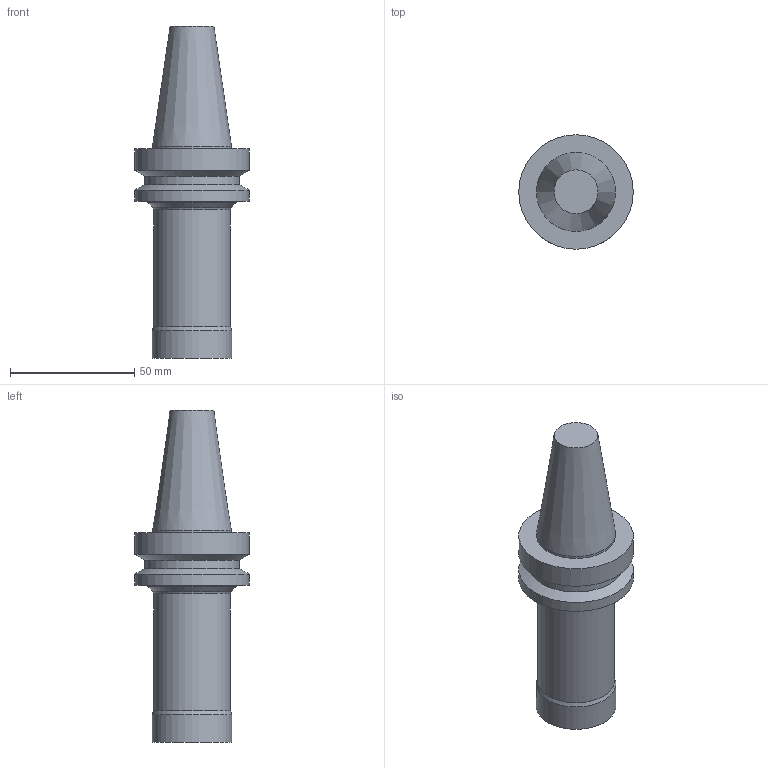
import cadquery as cq
import math


gauge_diameter = 31.75
taper_length = 48.4
taper_ratio = 7 / 24
tip_diameter = gauge_diameter - taper_ratio * taper_length

flange_diameter = 46.0
flange_top_z = -1.0
flange_bottom_z = -22.0
groove_diameter = 38.0
groove_center_z = -13.6
groove_mouth_width = 8.0
groove_wall_angle = 30.0

body_diameter = 30.8
neck_size = 3.5
neck_fillet_radius = 1.5
neck_cone_angle = 45.0
collar_diameter = 32.0
nose_z = -85.0
collar_height = 11.0
collar_lead_in_angle = 20.0


def make_blank():
    """Revolve the taper, flange, neck, body and collar as one solid."""
    gauge_radius = gauge_diameter / 2
    flange_radius = flange_diameter / 2
    body_radius = body_diameter / 2
    collar_radius = collar_diameter / 2

    collar_top_z = nose_z + collar_height
    lead_in_height = (collar_radius - body_radius) / math.tan(math.radians(collar_lead_in_angle))

    neck_angle = math.radians(neck_cone_angle)
    neck_radius = body_radius + neck_size
    neck_bottom_z = flange_bottom_z - neck_size
    end_along = neck_fillet_radius * math.sin(neck_angle)
    end_away = neck_fillet_radius * (1 - math.cos(neck_angle))
    middle_along = neck_fillet_radius * math.sin(neck_angle / 2)
    middle_away = neck_fillet_radius * (1 - math.cos(neck_angle / 2))

    flange_fillet_middle = (neck_radius - middle_along, flange_bottom_z - middle_away)
    cone_top = (neck_radius - end_along, flange_bottom_z - end_away)
    cone_bottom = (body_radius + end_away, neck_bottom_z + end_along)
    body_fillet_middle = (body_radius + middle_away, neck_bottom_z + middle_along)

    profile = (
        cq.Workplane("XZ")
        .moveTo(0, taper_length)
        .lineTo(tip_diameter / 2, taper_length)
        .lineTo(gauge_radius, 0)
        .lineTo(gauge_radius, flange_top_z)
        .lineTo(flange_radius, flange_top_z)
        .lineTo(flange_radius, flange_bottom_z)
        .lineTo(neck_radius, flange_bottom_z)
        .threePointArc(flange_fillet_middle, cone_top)
        .lineTo(*cone_bottom)
        .threePointArc(body_fillet_middle, (body_radius, neck_bottom_z))
        .lineTo(body_radius, collar_top_z + lead_in_height)
        .lineTo(collar_radius, collar_top_z)
        .lineTo(collar_radius, nose_z)
        .lineTo(0, nose_z)
        .close()
    )
    return profile.revolve(360, (0, 0, 0), (0, 1, 0))


def make_groove_cutter():
    """Ring with the trapezoidal section of the gripper groove."""
    flange_radius = flange_diameter / 2
    groove_radius = groove_diameter / 2
    wall_drop = (flange_radius - groove_radius) * math.tan(math.radians(groove_wall_angle))
    mouth_half = groove_mouth_width / 2
    floor_half = mouth_half - wall_drop

    section = cq.Workplane("XZ").polyline(
        [
            (flange_radius, groove_center_z + mouth_half),
            (groove_radius, groove_center_z + floor_half),
            (groove_radius, groove_center_z - floor_half),
            (flange_radius, groove_center_z - mouth_half),
        ]
    )
    return section.close().revolve(360, (0, 0, 0), (0, 1, 0))


result = make_blank().cut(make_groove_cutter())